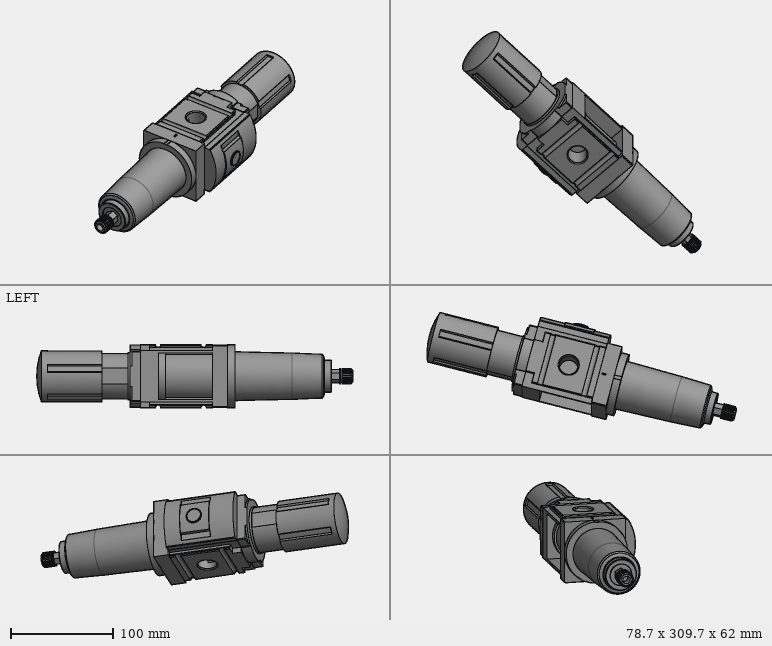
import cadquery as cq
import math


housing_half = 31.0
frame_half_height = 25.5
frame_rear = 39.3
frame_front = -31.0
front_block_end = -45.8
front_block_half_height = 30.5
corner_chamfer = 1.0
cap_half_width = 30.5
cap_half_height = 24.8
cap_shoulder = 47.7
cap_rear = 49.5
cap_disc_radius = 32.2
arch_radius = 30.5
arch_half_width = 16.0

plate_half_width = 26.3
plate_bevel = 1.0
plate_undercut_height = 28.0
plate_rear = 30.5
groove_place = 22.3
groove_half_width = 2.63
groove_depth = 2.63
port_diameter = 18.5
port_mouth_diameter = 20.7
port_depth = 21.7
mark_width = 1.2
mark_length = 3.7
mark_depth = 0.5
mark_place = -35.5

window_rear = 21.7
window_half_height = 23.0
window_floor = -10.0
inner_bowl_radius = 23.2
inner_rim_radius = 25.5
inner_bowl_rear = 15.0

ring_radius = 31.0
ring_end = -53.3
ring_slot_width = 3.5
ring_slot_floor = 30.3

bowl_root_radius = 24.0
bowl_middle_radius = 23.0
bowl_middle = -109.0
bowl_tip_radius = 21.7
bowl_end = -138.5
bowl_chamfer_radius = 20.0
bowl_chamfer_end = -139.5
bowl_face_radius = 16.7
bowl_face_end = -141.0
boss_radius = 15.8
boss_bevel = 0.5
boss_end = -147.5
boss_recess_radius = 10.8
boss_recess_depth = 1.5

stem_across_flats = 11.5
head_radius = 7.5
head_start = -155.5
drain_end = -168.5
head_chamfer = 2.0
head_groove_place = -157.5
head_groove_width = 1.2
head_groove_depth = 1.2
drain_bore_diameter = 7.5
drain_bore_depth = 9.3

neck_diameter = 45.0
neck_flat_half_width = 21.0
collar_radius = 23.2
collar_rear = 51.7
knob_diameter = 50.2
knob_front = 77.5
knob_rim = 136.5
knob_rear = 141.2
grip_count = 5
grip_first_angle = 18.0
grip_end = 130.7
grip_width = 8.7
grip_floor_width = 5.5
grip_depth = 2.0

panel_half_height = 25.7
panel_edge = 37.0
panel_lip_rise = 1.0
panel_lip_step = 0.5
panel_crown = 45.0
gauge_half_length = 15.0
gauge_half_height = 15.5
gauge_crown = 46.0
gauge_shoulder = 43.5
gauge_seat = 39.5
gauge_seat_half_height = 23.0
button_radius = 7.7
button_base = 46.0
button_chamfer = 0.5
button_face = 47.7

knurl_count = 16
knurl_width = 1.2
knurl_depth = 0.77


def block(x_range, y_range, z_range):
    """Box between the given limits."""
    ranges = (x_range, y_range, z_range)
    sizes = [high - low for low, high in ranges]
    middles = [(high + low) / 2 for low, high in ranges]
    return cq.Workplane("XY").box(*sizes).translate(tuple(middles))


def centred_block(half_x, y_range, half_z):
    return block((-half_x, half_x), y_range, (-half_z, half_z))


def section_plane(y):
    """Plane across the main axis; extruding from it runs toward +Y."""
    return cq.Workplane(cq.Plane(origin=(0, y, 0), xDir=(-1, 0, 0), normal=(0, 1, 0)))


def disc(radius, start, end):
    return section_plane(start).circle(radius).extrude(end - start)


def turned(points):
    """Solid of revolution about Y from (radius, y) points, closed along the axis."""
    outline = [(0, points[0][1])] + points + [(0, points[-1][1])]
    return cq.Workplane("XY").polyline(outline).close().revolve(360, (0, 0), (0, 1))


def mirrored_pair(solid):
    """The solid together with its mirror image below the XY plane."""
    return solid.union(solid.mirror("XY"))


def make_housing():
    frame = centred_block(housing_half, (frame_front, frame_rear), frame_half_height)
    front = centred_block(housing_half, (front_block_end, frame_front), front_block_half_height)
    front = front.edges("<X and |Y").chamfer(corner_chamfer)
    cap = centred_block(cap_half_width, (frame_rear, cap_shoulder), cap_half_height)
    cap = cap.edges("|Y").chamfer(corner_chamfer)
    cap_disc = disc(cap_disc_radius, cap_shoulder, cap_rear).intersect(
        centred_block(cap_half_width, (cap_shoulder, cap_rear), cap_half_height)
    )
    arch = disc(arch_radius, frame_rear, cap_rear).intersect(
        centred_block(arch_half_width, (frame_rear, cap_rear), housing_half)
    )
    return frame.union(front).union(cap).union(cap_disc).union(arch)


def make_flange_plate():
    """Plate with beveled, undercut sides, a neck toward the cap and two cross grooves."""
    inner_half_width = plate_half_width - plate_bevel
    bevel_start = housing_half - plate_bevel
    undercut_end = plate_undercut_height + plate_bevel
    side = [
        (inner_half_width, 0),
        (inner_half_width, plate_undercut_height),
        (plate_half_width, undercut_end),
        (plate_half_width, bevel_start),
        (inner_half_width, housing_half),
    ]
    other_side = [(-across, height) for across, height in reversed(side)]
    plate = section_plane(frame_front).polyline(side + other_side).close()
    plate = plate.extrude(plate_rear - frame_front)
    neck = block(
        (-arch_half_width, arch_half_width),
        (plate_rear, frame_rear),
        (0, housing_half),
    )
    for place in (-groove_place, groove_place):
        groove = (
            cq.Workplane("YZ", origin=(-housing_half, 0, 0))
            .moveTo(place - groove_half_width, housing_half)
            .threePointArc(
                (place, housing_half - groove_depth),
                (place + groove_half_width, housing_half),
            )
            .close()
            .extrude(2 * housing_half)
        )
        plate = plate.cut(groove)
    return plate.union(neck)


def make_port():
    """Blind port with a 45 degree mouth, opening on the top face."""
    radius = port_diameter / 2
    mouth_radius = port_mouth_diameter / 2
    mouth_start = housing_half - (mouth_radius - radius)
    outline = [
        (0, housing_half - port_depth),
        (radius, housing_half - port_depth),
        (radius, mouth_start),
        (mouth_radius, housing_half),
        (0, housing_half),
    ]
    return cq.Workplane("XZ").polyline(outline).close().revolve(360, (0, 0), (0, 1))


def make_window():
    """Pocket in the -X side that leaves the inner bowl standing."""
    pocket = block(
        (-housing_half, window_floor),
        (frame_front, window_rear),
        (-window_half_height, window_half_height),
    )
    bowl = disc(inner_bowl_radius, frame_front, inner_bowl_rear)
    bowl_rim = disc(inner_rim_radius, inner_bowl_rear, window_rear)
    return pocket.cut(bowl).cut(bowl_rim)


def make_bowl():
    ring = disc(ring_radius, ring_end, front_block_end)
    slot = block(
        (-ring_slot_width / 2, ring_slot_width / 2),
        (ring_end, front_block_end),
        (ring_slot_floor, housing_half),
    )
    bowl = turned([
        (bowl_root_radius, ring_end),
        (bowl_middle_radius, bowl_middle),
        (bowl_tip_radius, bowl_end),
        (bowl_chamfer_radius, bowl_chamfer_end),
        (bowl_face_radius, bowl_face_end),
        (boss_radius, bowl_face_end),
        (boss_radius, boss_end + boss_bevel),
        (boss_radius - boss_bevel, boss_end),
    ])
    recess = disc(boss_recess_radius, boss_end, boss_end + boss_recess_depth)
    return ring.cut(slot).union(bowl).cut(recess)


def knurled_disc(radius, start, end, chamfer):
    """Disc on the Y axis with a chamfered front end and lengthwise knurl notches."""
    knurled = disc(radius, start, end).faces("<Y").chamfer(chamfer)
    notch = block(
        (radius - knurl_depth, radius + knurl_depth),
        (start, end),
        (-knurl_width / 2, knurl_width / 2),
    )
    for index in range(knurl_count):
        knurled = knurled.cut(notch.rotate((0, 0, 0), (0, 1, 0), index * 360 / knurl_count))
    return knurled


def make_drain_screw():
    stem_length = boss_end + boss_recess_depth - head_start
    stem = (
        section_plane(head_start)
        .transformed(rotate=(0, 0, 90))
        .polygon(6, stem_across_flats / math.cos(math.pi / 6))
        .extrude(stem_length)
    )
    head = knurled_disc(head_radius, drain_end, head_start, head_chamfer)
    groove_end = head_groove_place + head_groove_width
    groove = disc(head_radius, head_groove_place, groove_end).cut(
        disc(head_radius - head_groove_depth, head_groove_place, groove_end)
    )
    bore = disc(drain_bore_diameter / 2, drain_end, drain_end + drain_bore_depth)
    return stem.union(head.cut(groove)).cut(bore)


def make_knob():
    radius = knob_diameter / 2
    dome_height = knob_rear - knob_rim
    dome_radius = (radius**2 + dome_height**2) / (2 * dome_height)
    dome_middle_radius = radius / 2
    dome_middle = knob_rear - dome_radius + math.sqrt(dome_radius**2 - dome_middle_radius**2)
    knob = (
        cq.Workplane("XY")
        .moveTo(0, knob_front)
        .lineTo(radius, knob_front)
        .lineTo(radius, knob_rim)
        .threePointArc((dome_middle_radius, dome_middle), (0, knob_rear))
        .close()
        .revolve(360, (0, 0), (0, 1))
    )
    floor = radius - grip_depth
    outside = radius + grip_depth
    outside_width = 2 * grip_width - grip_floor_width
    grip = (
        section_plane(knob_front)
        .polyline([
            (floor, -grip_floor_width / 2),
            (outside, -outside_width / 2),
            (outside, outside_width / 2),
            (floor, grip_floor_width / 2),
        ])
        .close()
        .extrude(grip_end - knob_front)
        .rotate((0, 0, 0), (0, 1, 0), grip_first_angle)
    )
    for index in range(grip_count):
        knob = knob.cut(grip.rotate((0, 0, 0), (0, 1, 0), index * 360 / grip_count))
    return knob


def make_neck():
    neck_radius = neck_diameter / 2
    neck = disc(neck_radius, cap_rear, knob_front).intersect(
        centred_block(neck_flat_half_width, (cap_rear, knob_front), neck_radius)
    )
    return neck.union(disc(collar_radius, cap_rear, collar_rear))


def crowned_block(edge, crown, half_height, y_range):
    """Block on the +X side whose outer face is an arc rising from edge to crown."""
    start, end = y_range
    return (
        cq.Workplane("XZ", origin=(0, end, 0))
        .moveTo(housing_half, -half_height)
        .lineTo(edge, -half_height)
        .threePointArc((crown, 0), (edge, half_height))
        .lineTo(housing_half, half_height)
        .close()
        .extrude(end - start)
    )


def make_gauge_panel():
    gauge_range = (-gauge_half_length, gauge_half_length)
    panel_range = (frame_front, frame_rear)
    base = block(
        (housing_half, panel_edge),
        panel_range,
        (-panel_half_height, panel_half_height),
    )
    panel = crowned_block(
        panel_edge + panel_lip_rise,
        panel_crown,
        panel_half_height - panel_lip_step,
        panel_range,
    )
    seat = block(
        (gauge_seat, gauge_crown),
        gauge_range,
        (-gauge_seat_half_height, gauge_seat_half_height),
    )
    gauge = crowned_block(gauge_shoulder, gauge_crown, gauge_half_height, gauge_range)
    button = knurled_disc(button_radius, -button_face, -button_base, button_chamfer)
    button_core = disc(button_radius - knurl_depth, -button_base, -housing_half)
    button = button.union(button_core).rotate((0, 0, 0), (0, 0, 1), 90)
    return base.union(panel).cut(seat).union(gauge).union(button)


alignment_mark = block(
    (-mark_width / 2, mark_width / 2),
    (mark_place - mark_length / 2, mark_place + mark_length / 2),
    (front_block_half_height - mark_depth, front_block_half_height),
)

result = (
    make_housing()
    .union(mirrored_pair(make_flange_plate()))
    .cut(mirrored_pair(make_port()))
    .cut(make_window())
    .cut(alignment_mark)
    .union(make_gauge_panel())
    .union(make_bowl())
    .union(make_drain_screw())
    .union(make_neck())
    .union(make_knob())
)